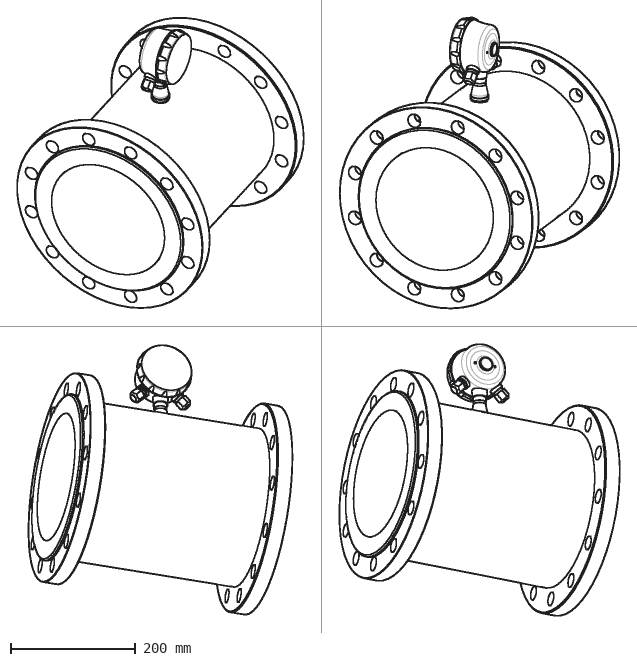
import cadquery as cq
import math

overall_length = 350.0
bore_diameter = 207.0
tube_diameter = 258.0

flange_diameter = 340.0
flange_thickness = 26.0
flange_inner_chamfer = 1.7
flange_outer_chamfer = 1.0
raised_face_diameter = 271.0
raised_face_height = 5.0
raised_face_chamfer = 2.5
bolt_count = 12
bolt_hole_diameter = 22.0
bolt_circle_radius = 148.0

overall_height = 433.8
cap_peak_radius = 45.5
cap_start_x = 15.0
cap_peak_x = 20.0
cap_land = 1.0
cap_rim_x = 31.2
cap_end_x = 34.0
cap_start_radius = 88.0 / 2
cap_rim_radius = 43.0
cap_end_radius = 83.7 / 2
notch_count = 12
notch_axis_radius = 49.0
notch_start_radius = 4.8
notch_rim_radius = 6.0
notch_slope = (notch_rim_radius - notch_start_radius) / (cap_rim_x - cap_start_x)

notch_peak_radius = notch_start_radius + notch_slope * (cap_peak_x - cap_land / 2 - cap_start_x)
notch_lip_height = (cap_peak_radius**2 + notch_axis_radius**2 - notch_peak_radius**2) / (2 * notch_axis_radius)
head_center_z = overall_height - flange_diameter / 2 - notch_lip_height

housing_front_radius = 42.5
housing_mid_radius = 39.5
housing_mid_x = 0.0
housing_back_radius = 38.5
housing_back_x = -19.5
housing_back_fillet = 5.5

boss_base_radius = 25.5
boss_step_radius = 15.5
boss_step_x = -21.5
hub_foot_x = -24.0
hub_base_radius = 11.3
hub_step_x = -25.5
hub_radius = 10.5
hub_rim_radius = 9.0
hub_face_x = -27.0
hub_tip_x = -27.8
pin_diameter = 3.0
pin_offset = 17.5
pin_end_x = -21.5

stem_radius = 21.0 / 2
collar_radius = 23.5 / 2
collar_bottom_z = 168.0
collar_top_z = 170.0
groove_bottom_z = 155.7
groove_top_z = 160.0
groove_depth = 0.2
foot_radius = 30.0 / 2
foot_bottom_radius = 13.5
foot_bottom_z = 129.3
foot_edge_z = 132.0
foot_top_z = 136.0
shoulder_radius = 13.5
shoulder_z = 140.5
neck_middle_radius = 11.5
neck_middle_z = 148.0
stem_embed_z = 123.5
head_socket_radius = 12.5
head_socket_z = 182.0

gland_x = -1.5
gland_angle = 45
gland_neck_diameter = 16.5
gland_ring_diameter = 21.0
gland_ring_start = 37.5
gland_ring_end = 44.0
nut_start = 48.0
nut_end = 64.0
nut_corner_diameter = 21.0
nut_chamfer = 4.0
gland_bore_diameter = 12.0
gland_bore_depth = 15.0


def cylinder_y(diameter, start, length):
    """Cylinder along +Y, beginning at the given Y."""
    return cq.Workplane("XZ", origin=(0, start, 0)).circle(diameter / 2).extrude(-length)


def make_flange_end():
    """Flange with raised face at the -Y end, before the bore is cut."""
    end_y = -overall_length / 2
    raised_face = cylinder_y(raised_face_diameter, end_y, raised_face_height + flange_thickness / 2)
    raised_face = raised_face.faces("<Y").chamfer(raised_face_chamfer)
    disc = cylinder_y(flange_diameter, end_y + raised_face_height, flange_thickness)
    disc = disc.faces(">Y").chamfer(flange_inner_chamfer)
    disc = disc.faces("<Y").chamfer(flange_outer_chamfer)
    bolt_holes = (
        cq.Workplane("XZ", origin=(0, end_y, 0))
        .polarArray(bolt_circle_radius, 180 / bolt_count, 360, bolt_count)
        .circle(bolt_hole_diameter / 2)
        .extrude(-2 * (raised_face_height + flange_thickness))
    )
    return disc.cut(bolt_holes).union(raised_face)


def make_flow_tube():
    flange = make_flange_end()
    tube_length = overall_length - 2 * raised_face_height
    tube = cylinder_y(tube_diameter, -tube_length / 2, tube_length)
    return tube.union(flange).union(flange.mirror("XZ"))


def revolve_about_head_axis(profile):
    """Turn an (x, radius) outline about the head axis."""
    return profile.close().revolve(360, (0, 0), (1, 0))


def head_plane():
    return cq.Workplane("XZ", origin=(0, 0, head_center_z))


def make_housing():
    fillet_x = housing_back_x + housing_back_fillet
    face_radius = housing_back_radius - housing_back_fillet
    fillet_mid_offset = housing_back_fillet * math.sqrt(0.5)
    profile = (
        head_plane()
        .moveTo(hub_tip_x, 0)
        .lineTo(hub_face_x, hub_rim_radius)
        .lineTo(hub_face_x, hub_radius)
        .lineTo(hub_step_x, hub_radius)
        .lineTo(hub_step_x, hub_base_radius)
        .lineTo(hub_foot_x, hub_base_radius)
        .lineTo(boss_step_x, boss_step_radius)
        .lineTo(housing_back_x, boss_base_radius)
        .lineTo(housing_back_x, face_radius)
        .threePointArc(
            (fillet_x - fillet_mid_offset, face_radius + fillet_mid_offset),
            (fillet_x, housing_back_radius),
        )
        .threePointArc((housing_mid_x, housing_mid_radius), (cap_start_x, housing_front_radius))
        .lineTo(cap_start_x, 0)
    )
    pins = (
        cq.Workplane("YZ", origin=(pin_end_x, 0, head_center_z))
        .pushPoints([(-pin_offset, 0), (pin_offset, 0)])
        .circle(pin_diameter / 2)
        .extrude(housing_back_fillet)
    )
    return revolve_about_head_axis(profile).union(pins)


def make_cap():
    """Screw cap with grip notches around its rim."""
    profile = (
        head_plane()
        .moveTo(cap_start_x, 0)
        .lineTo(cap_start_x, cap_start_radius)
        .lineTo(cap_peak_x - cap_land / 2, cap_peak_radius)
        .lineTo(cap_peak_x + cap_land / 2, cap_peak_radius)
        .lineTo(cap_rim_x, cap_rim_radius)
        .lineTo(cap_end_x, cap_end_radius)
        .lineTo(cap_end_x, 0)
    )
    notches = (
        cq.Workplane("YZ", origin=(cap_start_x, 0, head_center_z))
        .polarArray(notch_axis_radius, 0, 360, notch_count)
        .circle(notch_start_radius)
        .extrude(cap_end_x - cap_start_x, taper=-math.degrees(math.atan(notch_slope)))
    )
    return revolve_about_head_axis(profile).cut(notches)


def make_stem():
    """Turned stem, drawn as (radius, z) and revolved about the Z axis."""
    groove_radius = stem_radius - groove_depth
    outline = (
        cq.Workplane("XZ")
        .moveTo(0, stem_embed_z)
        .lineTo(foot_bottom_radius, stem_embed_z)
        .lineTo(foot_bottom_radius, foot_bottom_z)
        .lineTo(foot_radius, foot_edge_z)
        .lineTo(foot_radius, foot_top_z)
        .lineTo(shoulder_radius, foot_top_z)
        .lineTo(shoulder_radius, shoulder_z)
        .threePointArc((neck_middle_radius, neck_middle_z), (stem_radius, groove_bottom_z))
        .lineTo(groove_radius, groove_bottom_z)
        .lineTo(groove_radius, groove_top_z)
        .lineTo(stem_radius, groove_top_z)
        .lineTo(stem_radius, collar_bottom_z)
        .lineTo(collar_radius, collar_bottom_z)
        .lineTo(collar_radius, collar_top_z)
        .lineTo(head_socket_radius, head_socket_z)
        .lineTo(head_socket_radius, head_center_z)
        .lineTo(0, head_center_z)
        .close()
    )
    return outline.revolve(360, (0, 0), (0, 1))


def make_gland():
    """Cable gland on the +Y side, built along +Z from the head centre and then tilted."""
    neck = cq.Workplane("XY").circle(gland_neck_diameter / 2).extrude(nut_start)
    ring = (
        cq.Workplane("XY", origin=(0, 0, gland_ring_start))
        .circle(gland_ring_diameter / 2)
        .extrude(gland_ring_end - gland_ring_start)
    )
    nut_length = nut_end - nut_start
    nut = cq.Workplane("XY", origin=(0, 0, nut_start)).polygon(6, nut_corner_diameter).extrude(nut_length)
    turned_blank = (
        cq.Workplane("XY", origin=(0, 0, nut_start))
        .circle(nut_corner_diameter / 2)
        .extrude(nut_length)
        .faces(">Z")
        .chamfer(nut_chamfer)
    )
    nut = nut.intersect(turned_blank)
    bore = (
        cq.Workplane("XY", origin=(0, 0, nut_end - gland_bore_depth))
        .circle(gland_bore_diameter / 2)
        .extrude(gland_bore_depth)
    )
    gland = neck.union(ring).union(nut).cut(bore)
    tilted = gland.rotate((0, 0, 0), (1, 0, 0), -(90 + gland_angle))
    return tilted.translate((gland_x, 0, head_center_z))


gland = make_gland()
result = (
    make_flow_tube()
    .union(make_stem())
    .union(make_housing())
    .union(make_cap())
    .union(gland)
    .union(gland.mirror("XZ"))
    .cut(cylinder_y(bore_diameter, -overall_length / 2, overall_length))
)